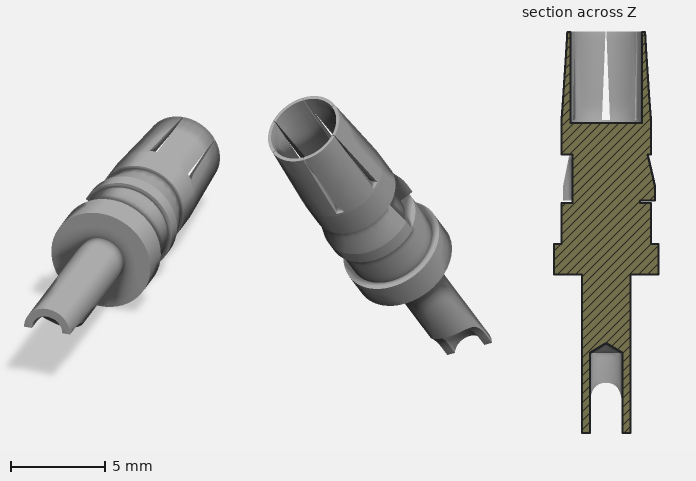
import cadquery as cq
import math

length = 21.35

flange_start = 8.43
flange_end = 10.08
groove_start = 12.25
groove_end = 14.82
collar_end = 16.5
taper_start = 16.82

tail_dia = 2.6
flange_dia = 5.6
body_dia = 4.8
groove_dia = 3.6
taper_base_dia = 4.76
tip_dia = 4.16

clip_start = 12.36
clip_shoulder = 13.15
clip_large_dia = 5.2
clip_small_dia = 4.45
clip_gap_angle = 58.0

socket_dia = 3.8
slot_count = 6
slot_end = 16.65
slot_root_width = 0.43
slot_tip_width = 0.05

cup_dia = 1.7
cup_depth = 4.27
cup_point_angle = 118.0
cutaway_flat = 0.77
cutaway_radius = 2.56


def revolve_about_y(profile):
    """Turn a list of (radius, y) points about the Y axis."""
    return cq.Workplane("XY").polyline(profile).close().revolve(360, (0, 0, 0), (0, 1, 0))


def make_body():
    tail_r = tail_dia / 2
    flange_r = flange_dia / 2
    body_r = body_dia / 2
    groove_r = groove_dia / 2
    return revolve_about_y([
        (0, 0),
        (tail_r, 0),
        (tail_r, flange_start),
        (flange_r, flange_start),
        (flange_r, flange_end),
        (body_r, flange_end),
        (body_r, groove_start),
        (groove_r, groove_start),
        (groove_r, groove_end),
        (body_r, groove_end),
        (body_r, collar_end),
        (taper_base_dia / 2, taper_start),
        (tip_dia / 2, length),
        (0, length),
    ])


def make_clip():
    """Flared ring around the groove, open toward -X between two radial faces."""
    ring = revolve_about_y([
        (0, clip_start),
        (clip_large_dia / 2, clip_start),
        (clip_large_dia / 2, clip_shoulder),
        (clip_small_dia / 2, groove_end),
        (0, groove_end),
    ])
    reach = clip_large_dia
    half_opening = reach * math.tan(math.radians(clip_gap_angle / 2))
    gap = (
        cq.Workplane("XZ", origin=(0, groove_end, 0))
        .polyline([(0, 0), (-reach, half_opening), (-reach, -half_opening)])
        .close()
        .extrude(groove_end - clip_start)
    )
    return ring.cut(gap)


def make_socket():
    """Blind bore that leaves the thin wall of the spring fingers."""
    return cq.Workplane("XZ", origin=(0, length, 0)).circle(socket_dia / 2).extrude(length - collar_end)


def make_slot(angle):
    """Radial slot that narrows toward the tip as the fingers bend inward."""
    slot = (
        cq.Workplane("XY")
        .polyline([
            (-slot_root_width / 2, slot_end),
            (slot_root_width / 2, slot_end),
            (slot_tip_width / 2, length),
            (-slot_tip_width / 2, length),
        ])
        .close()
        .extrude(body_dia)
    )
    return slot.rotate((0, 0, 0), (0, 1, 0), angle)


def make_cup_bore():
    """Drilled hole with a conical bottom."""
    cup_r = cup_dia / 2
    point_length = cup_r / math.tan(math.radians(cup_point_angle / 2))
    return revolve_about_y([(0, 0), (cup_r, 0), (cup_r, cup_depth), (0, cup_depth + point_length)])


def make_cup_cutaway():
    """Lower half of the cup end, running out through a concave arc."""
    def arc_point(drop):
        run = math.sqrt(cutaway_radius**2 - (cutaway_radius - drop) ** 2)
        return (cutaway_flat + run, -drop)

    bottom = tail_dia / 2
    return (
        cq.Workplane("YZ")
        .moveTo(0, 0)
        .lineTo(cutaway_flat, 0)
        .threePointArc(arc_point(bottom / 3), arc_point(bottom))
        .lineTo(0, -bottom)
        .close()
        .extrude(tail_dia / 2, both=True)
    )


result = make_body().union(make_clip()).cut(make_socket())
for index in range(slot_count):
    result = result.cut(make_slot(index * 360 / slot_count))
result = result.cut(make_cup_bore()).cut(make_cup_cutaway())